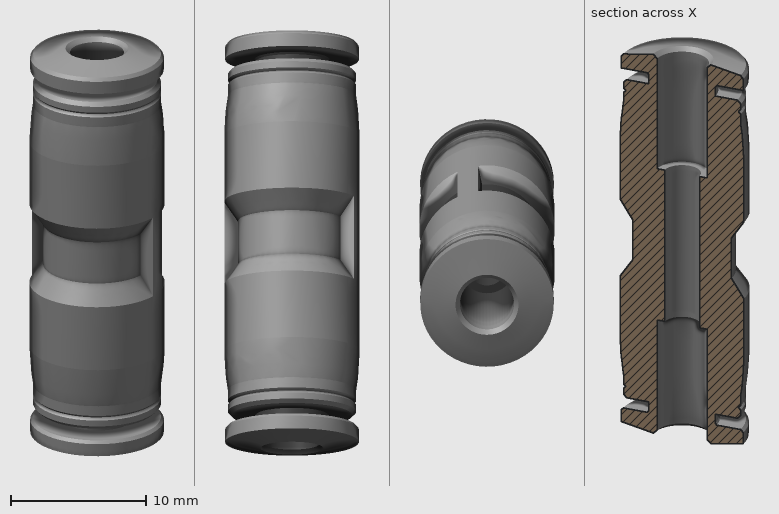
import cadquery as cq

length = 31.0
half_length = length / 2

button_radius = 9.9 / 2
crown_drop = 0.45
rim_chamfer = 0.22
button_underside = 1.65
neck_radius = 5.4 / 2
neck_flare = 0.1
neck_flare_height = 0.15

collar_start = 2.48
collar_radius = 9.5 / 2
collar_chamfer = 0.28
collar_end = 3.22
groove_radius = 4.55
groove_half_width = 0.2

shoulder_start = 4.37
body_start = 7.35
body_radius = 10.0 / 2

waist_radius = 4.0
waist_half_length = 3.13
waist_floor_half_length = 1.65
rib_width = 1.58

through_diameter = 2.8
tube_radius = 4.0 / 2
tube_depth = 9.3
mouth_radius = 2.32
mouth_depth = 0.3


def upper_half():
    """Revolve one half of the outside, from the mid plane to the end."""
    def from_end(distance):
        return half_length - distance

    return (
        cq.Workplane("XZ")
        .moveTo(0, 0)
        .lineTo(waist_radius, 0)
        .lineTo(waist_radius, waist_floor_half_length)
        .lineTo(body_radius, waist_half_length)
        .lineTo(body_radius, from_end(body_start))
        .tangentArcPoint((collar_radius, from_end(shoulder_start)), relative=False)
        .lineTo(collar_radius, from_end(collar_end + 2 * groove_half_width))
        .lineTo(groove_radius, from_end(collar_end + groove_half_width))
        .lineTo(collar_radius, from_end(collar_end))
        .lineTo(collar_radius, from_end(collar_start + collar_chamfer))
        .lineTo(collar_radius - collar_chamfer, from_end(collar_start))
        .lineTo(neck_radius, from_end(collar_start))
        .lineTo(neck_radius, from_end(button_underside + neck_flare_height))
        .lineTo(neck_radius + neck_flare, from_end(button_underside))
        .lineTo(button_radius, from_end(button_underside))
        .lineTo(button_radius, from_end(crown_drop))
        .lineTo(mouth_radius, half_length)
        .lineTo(0, half_length)
        .close()
        .revolve(360, (0, 0, 0), (0, 1, 0))
    )


def rim_chamfer_ring(inner_height, edge_height):
    """Cutter that bevels a button rim, given face heights at its inner and outer edges."""
    return (
        cq.Workplane("XZ")
        .moveTo(button_radius - rim_chamfer, inner_height)
        .lineTo(button_radius, inner_height)
        .lineTo(button_radius, edge_height - rim_chamfer)
        .close()
        .revolve(360, (0, 0, 0), (0, 1, 0))
    )


def waist_ribs():
    """Bar along X, rounded to the body radius, forming both ribs."""
    rib_length = 2 * waist_half_length
    bar = cq.Workplane("XY").box(2 * body_radius, rib_width, rib_length)
    envelope = cq.Workplane("XY").circle(body_radius).extrude(rib_length / 2, both=True)
    return bar.intersect(envelope)


def tube_socket():
    """Cutter for the tube socket and its tapered mouth at the +Z end."""
    return (
        cq.Workplane("XZ")
        .moveTo(0, half_length - tube_depth)
        .lineTo(tube_radius, half_length - tube_depth)
        .lineTo(tube_radius, half_length - mouth_depth)
        .lineTo(mouth_radius, half_length)
        .lineTo(0, half_length)
        .close()
        .revolve(360, (0, 0, 0), (0, 1, 0))
    )


def both_ends(half):
    """Join a shape with its mirror image across the mid plane."""
    return half.union(half.mirror("XY"))


crown_slope = crown_drop / (button_radius - mouth_radius)
upper_rim_height = half_length - crown_drop
upper_bevel_height = upper_rim_height + rim_chamfer * crown_slope
lower_rim_height = button_underside - half_length

through_hole = cq.Workplane("XY").circle(through_diameter / 2).extrude(half_length, both=True)

result = both_ends(upper_half()).union(waist_ribs())
for socket in (tube_socket(), tube_socket().mirror("XY")):
    result = result.cut(socket)
result = result.cut(through_hole)
result = result.cut(rim_chamfer_ring(upper_bevel_height, upper_rim_height))
result = result.cut(rim_chamfer_ring(lower_rim_height, lower_rim_height))